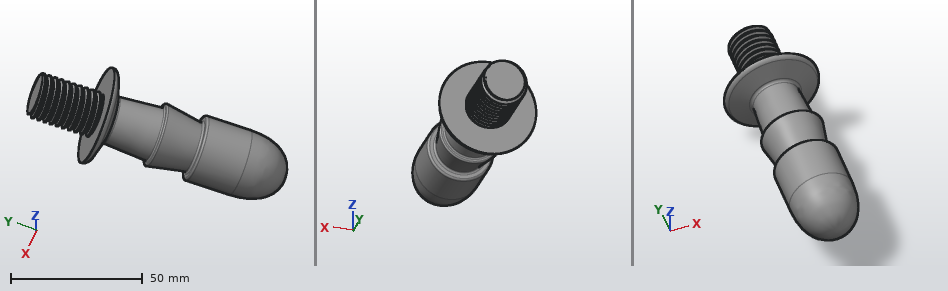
import cadquery as cq
import math


stud_length = 25.0
thread_turns = 10
pitch = stud_length / thread_turns
major_radius = 17.6 / 2
minor_radius = 14.9 / 2
crest_width = pitch / 8
thread_offset = 0.5
flank_angle = 30
root_overlap = 0.2

flange_radius = 38.1 / 2
flange_rim = 0.2
flange_round_end = 2.2
flange_cone_radius = 17.8
flange_cone_end = 5.0

neck_radius = 9.4
neck_fillet = 1.1
neck_end_radius = 10.6
neck_end = 23.4

collar_fillet = 0.6
collar_start = neck_end + collar_fillet
collar_radius = 12.5
collar_edge_radius = 0.6
taper_end_radius = 9.9
taper_end = 39.3
taper_fillet = 0.8

barrel_radius = 26.0 / 2
barrel_start = taper_end + taper_fillet
barrel_edge_radius = 0.8
barrel_end = 58.4
nose_end = 102 - stud_length
nose_fullness = 0.62


def add_round(profile, start, end, corner):
    """Draw a line to start, then a quarter circle that bulges towards corner and stops at end."""
    bulge = math.cos(math.radians(45))
    middle = tuple(s + e - c + bulge * (2 * c - s - e) for s, e, c in zip(start, end, corner))
    return profile.lineTo(*start).threePointArc(middle, end)


def add_shoulder(profile, inner_radius, outer_radius, face, fillet, edge_radius):
    """Step outwards at a flat face, with a fillet inside and a rounded edge outside."""
    profile = add_round(
        profile,
        (inner_radius, fillet - face),
        (inner_radius + fillet, -face),
        (inner_radius, -face),
    )
    return add_round(
        profile,
        (outer_radius - edge_radius, -face),
        (outer_radius, -face - edge_radius),
        (outer_radius, -face),
    )


def add_nose(profile):
    """Blunt dome from the end of the barrel to the tip."""
    handle_end = barrel_end + nose_fullness * (nose_end - barrel_end)
    return profile.lineTo(barrel_radius, -barrel_end).bezier([
        (barrel_radius, -barrel_end),
        (barrel_radius, -handle_end),
        (nose_fullness * barrel_radius, -nose_end),
        (0, -nose_end),
    ])


def make_plug():
    """Flange, neck, collar, barrel and nose as one revolved profile."""
    profile = (
        cq.Workplane("XY")
        .lineTo(flange_radius, 0)
        .lineTo(flange_radius, -flange_rim)
        .tangentArcPoint((flange_cone_radius, -flange_round_end), relative=False)
    )
    profile = add_round(
        profile,
        (neck_radius + neck_fillet, -flange_cone_end),
        (neck_radius, -flange_cone_end - neck_fillet),
        (neck_radius, -flange_cone_end),
    )
    profile = add_shoulder(
        profile, neck_end_radius, collar_radius, collar_start, collar_fillet, collar_edge_radius
    )
    profile = add_shoulder(
        profile, taper_end_radius, barrel_radius, barrel_start, taper_fillet, barrel_edge_radius
    )
    return add_nose(profile).close().revolve(360, (0, 0, 0), (0, 1, 0))


def make_stud():
    """Right-hand threaded stud, built along Z and then turned to +Y."""
    flank_slope = math.tan(math.radians(flank_angle))
    inner_radius = minor_radius - root_overlap
    crest_half = crest_width / 2
    root_half = crest_half + (major_radius - inner_radius) * flank_slope

    ridge_start = thread_offset - pitch
    helix = cq.Wire.makeHelix(pitch, stud_length + 2 * pitch, minor_radius)
    helix = helix.translate(cq.Vector(0, 0, ridge_start))
    ridge = (
        cq.Workplane("XZ")
        .polyline([
            (inner_radius, ridge_start - root_half),
            (major_radius, ridge_start - crest_half),
            (major_radius, ridge_start + crest_half),
            (inner_radius, ridge_start + root_half),
        ])
        .close()
        .sweep(cq.Workplane(obj=helix), isFrenet=True)
    )
    envelope = cq.Workplane("XY").circle(2 * major_radius).extrude(stud_length)
    core = cq.Workplane("XY").circle(minor_radius).extrude(stud_length)
    stud = core.union(ridge.intersect(envelope))
    return stud.rotate((0, 0, 0), (1, 0, 0), -90)


result = make_plug().union(make_stud())